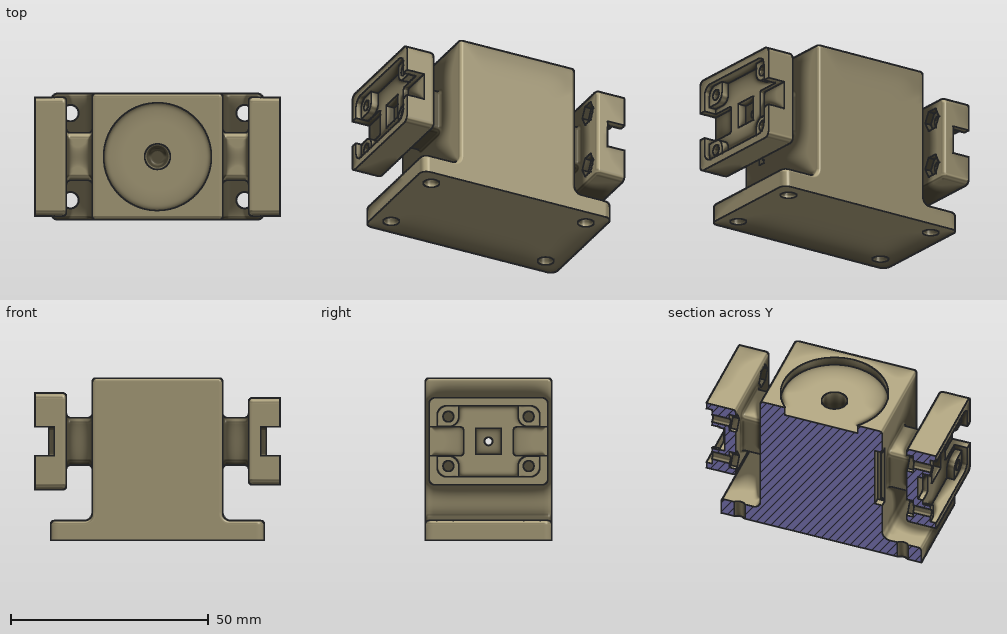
import cadquery as cq
import math

BASE_LENGTH = 54.0
BASE_WIDTH = 32.0
BASE_HEIGHT = 5.0
BASE_CORNER_RADIUS = 2.0
BASE_HOLE_DIAMETER = 4.1
BASE_HOLE_X = 22.0
BASE_HOLE_Y = 11.0

BLOCK_LENGTH = 33.0
TOTAL_HEIGHT = 41.0
FOOT_RADIUS = 2.0
EDGE_RADIUS = 1.0

RECESS_DIAMETER = 27.27
RECESS_DEPTH = 2.5
BORE_TOP_DIAMETER = 6.5
BORE_BOTTOM_DIAMETER = 4.75
BORE_DEPTH = 10.0
BORE_BOTTOM_RADIUS = 1.0

ARM_AXIS_Z = 25.0
TOTAL_LENGTH = 62.0
NECK_SIZE = 12.0
NECK_EDGE_RADIUS = 1.5
NECK_END_RADIUS = 1.0
PLATE_THICKNESS = 8.0
PLATE_WIDTH = 30.0
LEFT_PLATE_HEIGHT = 24.5
RIGHT_PLATE_HEIGHT = 22.0
PLATE_CORNER_RADIUS = 1.5
PLATE_BACK_RADIUS = 1.0

WALL = 2.0
CAVITY_DEPTH = 3.5
CAVITY_CORNER_RADIUS = 2.5
PAD_WIDTH = 5.5
PAD_HEIGHT = 5.25
PAD_CORNER_RADIUS = 2.5
PAD_DROP = 1.5
SCREW_HOLE_DIAMETER = 2.7
SCREW_INSET_Y = 4.85
SCREW_INSET_Z = 4.75
NUT_ACROSS_FLATS = 5.2
NUT_DEPTH = 1.75
SIDE_SLOT_HEIGHT = 7.25
SIDE_SLOT_DEPTH = 4.85
SIDE_SLOT_INNER_Y = 6.3
SIDE_SLOT_CORNER_RADIUS = 0.75
WINDOW_SIZE = 6.5
WINDOW_DEPTH = 2.4
AXIS_HOLE_DIAMETER = 2.0

FACE_SLOT_Y_MIN = 7.7
FACE_SLOT_Y_MAX = 9.5
FACE_SLOT_HEIGHT = 17.7
FACE_SLOT_DEPTH = 2.0

SELECT_MARGIN = 0.1

HALF_LENGTH = TOTAL_LENGTH / 2
BLOCK_FACE_X = BLOCK_LENGTH / 2
PLATE_BACK_X = HALF_LENGTH - PLATE_THICKNESS
CAVITY_FLOOR_X = HALF_LENGTH - CAVITY_DEPTH


def arm_box(x_start, x_end, width, height, y=0.0, z=0.0):
    """Box between two X stations, centred at (y, z) relative to the arm axis."""
    centre = ((x_start + x_end) / 2, y, ARM_AXIS_Z + z)
    return cq.Workplane("XY").box(x_end - x_start, width, height).translate(centre)


def arm_plane(x):
    """Sketch plane facing +X at the given X, with its origin on the arm axis."""
    return cq.Workplane("YZ", origin=(x, 0, ARM_AXIS_Z))


def make_base_and_block():
    base = (
        cq.Workplane("XY")
        .box(BASE_LENGTH, BASE_WIDTH, BASE_HEIGHT, centered=(True, True, False))
        .edges("|Z")
        .fillet(BASE_CORNER_RADIUS)
    )
    block = cq.Workplane("XY").box(BLOCK_LENGTH, BASE_WIDTH, TOTAL_HEIGHT, centered=(True, True, False))
    body = base.union(block)

    along_y = cq.selectors.ParallelDirSelector(cq.Vector(0, 1, 0))
    foot_reach = BLOCK_FACE_X + FOOT_RADIUS + SELECT_MARGIN
    foot_zone = cq.selectors.BoxSelector(
        (-foot_reach, -BASE_WIDTH, BASE_HEIGHT - SELECT_MARGIN),
        (foot_reach, BASE_WIDTH, BASE_HEIGHT + FOOT_RADIUS + SELECT_MARGIN),
    )
    foot_edges = foot_zone & along_y
    body = body.edges(foot_edges).fillet(FOOT_RADIUS)

    upper_zone = cq.selectors.BoxSelector(
        (-BASE_LENGTH, -BASE_WIDTH, BASE_HEIGHT - SELECT_MARGIN),
        (BASE_LENGTH, BASE_WIDTH, TOTAL_HEIGHT + SELECT_MARGIN),
    )
    return body.edges(upper_zone - foot_edges).fillet(EDGE_RADIUS)


def make_base_holes():
    return (
        cq.Workplane("XY")
        .rect(2 * BASE_HOLE_X, 2 * BASE_HOLE_Y, forConstruction=True)
        .vertices()
        .circle(BASE_HOLE_DIAMETER / 2)
        .extrude(BASE_HEIGHT)
    )


def make_top_recess_and_bore():
    """Recess and tapered bore as one revolved cutter about the Z axis."""
    floor_z = TOTAL_HEIGHT - RECESS_DEPTH
    bottom_z = floor_z - BORE_DEPTH
    bottom_radius = BORE_BOTTOM_DIAMETER / 2
    arc_offset = BORE_BOTTOM_RADIUS * math.sqrt(0.5)
    arc_centre_r = bottom_radius - BORE_BOTTOM_RADIUS
    arc_centre_z = bottom_z + BORE_BOTTOM_RADIUS
    return (
        cq.Workplane("XZ")
        .moveTo(0, TOTAL_HEIGHT)
        .lineTo(RECESS_DIAMETER / 2, TOTAL_HEIGHT)
        .lineTo(RECESS_DIAMETER / 2, floor_z)
        .lineTo(BORE_TOP_DIAMETER / 2, floor_z)
        .lineTo(bottom_radius, arc_centre_z)
        .threePointArc((arc_centre_r + arc_offset, arc_centre_z - arc_offset), (arc_centre_r, bottom_z))
        .lineTo(0, bottom_z)
        .close()
        .revolve(360, (0, 0, 0), (0, 1, 0))
    )


def make_block_face_slot():
    width = FACE_SLOT_Y_MAX - FACE_SLOT_Y_MIN
    centre_y = (FACE_SLOT_Y_MIN + FACE_SLOT_Y_MAX) / 2
    return arm_box(-BLOCK_FACE_X, -BLOCK_FACE_X + FACE_SLOT_DEPTH, width, FACE_SLOT_HEIGHT, y=centre_y)


def make_neck():
    """Square neck on the +X side, flared at the block and at the plate."""
    neck = arm_box(BLOCK_FACE_X, PLATE_BACK_X, NECK_SIZE, NECK_SIZE).edges("|X").fillet(NECK_EDGE_RADIUS)
    backing_size = NECK_SIZE + 4 * NECK_END_RADIUS
    block_backing = arm_box(BLOCK_FACE_X - NECK_END_RADIUS, BLOCK_FACE_X, backing_size, backing_size)
    plate_backing = arm_box(PLATE_BACK_X, PLATE_BACK_X + NECK_END_RADIUS, backing_size, backing_size)

    reach = NECK_SIZE / 2 + SELECT_MARGIN
    root_zone = cq.selectors.BoxSelector(
        (BLOCK_FACE_X - SELECT_MARGIN, -reach, ARM_AXIS_Z - reach),
        (PLATE_BACK_X + SELECT_MARGIN, reach, ARM_AXIS_Z + reach),
    )
    along_x = cq.selectors.ParallelDirSelector(cq.Vector(1, 0, 0))
    flared = neck.union(block_backing).union(plate_backing)
    return flared.edges(root_zone - along_x).fillet(NECK_END_RADIUS)


def make_cavity(height):
    """Shallow cavity in the plate's outer face, leaving a screw pad standing in each corner."""
    cavity_width = PLATE_WIDTH - 2 * WALL
    cavity_height = height - 2 * WALL
    cavity = arm_box(CAVITY_FLOOR_X, HALF_LENGTH, cavity_width, cavity_height)
    cavity = cavity.edges("|X").fillet(CAVITY_CORNER_RADIUS)
    for side_y in (-1, 1):
        for side_z in (-1, 1):
            pad = arm_box(
                CAVITY_FLOOR_X,
                HALF_LENGTH - PAD_DROP,
                2 * PAD_WIDTH,
                2 * PAD_HEIGHT,
                y=side_y * cavity_width / 2,
                z=side_z * cavity_height / 2,
            )
            cavity = cavity.cut(pad.edges("|X").fillet(PAD_CORNER_RADIUS))
    return cavity


def make_side_slots():
    """Slots entering the plate from both ends in Y, open to the outer face."""
    floor_x = HALF_LENGTH - SIDE_SLOT_DEPTH
    reach = PLATE_WIDTH - SIDE_SLOT_INNER_Y
    slots = cq.Workplane("XY")
    for side_y in (-1, 1):
        centre_y = side_y * (SIDE_SLOT_INNER_Y + reach / 2)
        slot = arm_box(floor_x, HALF_LENGTH, reach, SIDE_SLOT_HEIGHT, y=centre_y)
        slots = slots.add(slot.edges("|X").fillet(SIDE_SLOT_CORNER_RADIUS))
    return slots.combine()


def make_screw_holes(height):
    """Corner screw holes with hexagonal nut pockets sunk into the plate's back face."""
    pitch_y = PLATE_WIDTH - 2 * SCREW_INSET_Y
    pitch_z = height - 2 * SCREW_INSET_Z
    upright_plane = cq.Plane(origin=(PLATE_BACK_X, 0, ARM_AXIS_Z), xDir=(0, 0, 1), normal=(1, 0, 0))
    pattern = cq.Workplane(upright_plane).rect(pitch_z, pitch_y, forConstruction=True).vertices()
    holes = pattern.circle(SCREW_HOLE_DIAMETER / 2).extrude(PLATE_THICKNESS)
    nuts = pattern.polygon(6, NUT_ACROSS_FLATS, circumscribed=True).extrude(NUT_DEPTH)
    return holes.union(nuts)


def make_arm(plate_height):
    """Neck and end plate on the +X side."""
    plate = (
        arm_box(PLATE_BACK_X, HALF_LENGTH, PLATE_WIDTH, plate_height)
        .edges("|X")
        .fillet(PLATE_CORNER_RADIUS)
        .faces("<X")
        .edges()
        .fillet(PLATE_BACK_RADIUS)
    )
    window = arm_box(CAVITY_FLOOR_X - WINDOW_DEPTH, CAVITY_FLOOR_X, WINDOW_SIZE, WINDOW_SIZE)
    return (
        plate.union(make_neck())
        .cut(make_cavity(plate_height))
        .cut(make_side_slots())
        .cut(window)
        .cut(make_screw_holes(plate_height))
    )


axis_hole = arm_plane(-HALF_LENGTH).circle(AXIS_HOLE_DIAMETER / 2).extrude(TOTAL_LENGTH)

result = (
    make_base_and_block()
    .cut(make_block_face_slot())
    .union(make_arm(RIGHT_PLATE_HEIGHT))
    .union(make_arm(LEFT_PLATE_HEIGHT).mirror("YZ"))
    .cut(make_base_holes())
    .cut(make_top_recess_and_bore())
    .cut(axis_hole)
)